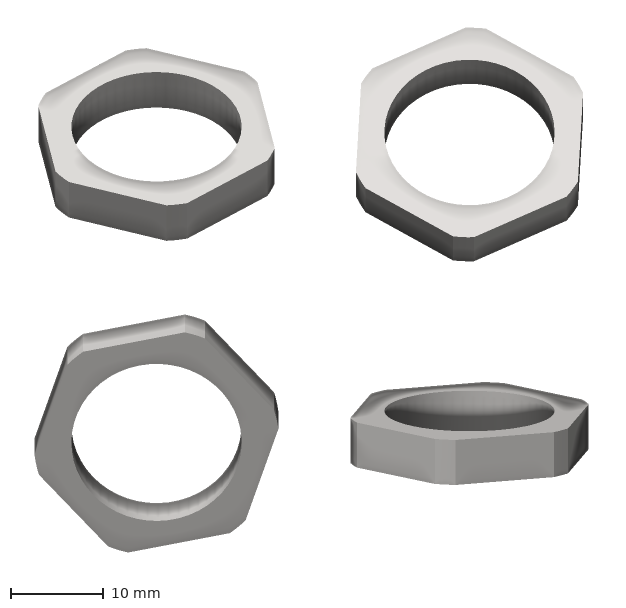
import cadquery as cq
import math

ACROSS_FLATS = 24.0
CORNER_DIAMETER = 26.5
BORE_DIAMETER = 18.38
THICKNESS = 5.0

HEX_SIDES = 6
ACROSS_CORNERS = ACROSS_FLATS / math.cos(math.pi / HEX_SIDES)
CORNER_TO_Y_ANGLE = 90.0


def hexagon_body():
    """Sharp-cornered hexagonal prism with corners on the Y axis."""
    prism = cq.Workplane("XY").polygon(HEX_SIDES, ACROSS_CORNERS).extrude(THICKNESS)
    return prism.rotate((0, 0, 0), (0, 0, 1), CORNER_TO_Y_ANGLE)


def cylinder(diameter):
    """Cylinder on the part axis, as tall as the nut."""
    return cq.Workplane("XY").circle(diameter / 2).extrude(THICKNESS)


rounded_hexagon = hexagon_body().intersect(cylinder(CORNER_DIAMETER))
result = rounded_hexagon.cut(cylinder(BORE_DIAMETER))